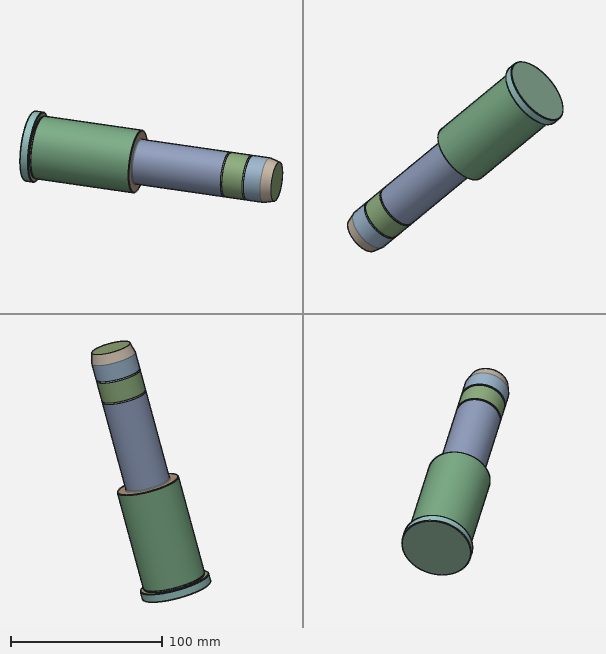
import cadquery as cq
import math

TOTAL_LENGTH = 171.0

HEAD_RADIUS = 47.0 / 2
HEAD_LENGTH = 6.0
HEAD_CHAMFER = 0.5

BODY_RADIUS = 42.0 / 2
BODY_END = 75.0
BODY_CHAMFER = 0.5
UNDERCUT_WIDTH = 1.0
UNDERCUT_DEPTH = 0.5

PIN_RADIUS = 30.0 / 2
ROOT_FILLET = 0.5
GROOVE_RADIUS = 0.5
FIRST_GROOVE_CENTER = 137.0
GROOVE_SPACING = 15.0
GROOVE_COUNT = 2

TIP_LENGTH = 7.0
TIP_ANGLE = math.radians(15.0)


def cylinder(radius, start, end):
    """Solid cylinder on the X axis between two X positions."""
    return cq.Workplane("YZ", origin=(start, 0, 0)).circle(radius).extrude(end - start)


def make_head():
    head = cylinder(HEAD_RADIUS, 0, HEAD_LENGTH)
    return head.faces("<X or >X").chamfer(HEAD_CHAMFER)


def make_body():
    """Body cylinder with a narrow undercut next to the head."""
    undercut_end = HEAD_LENGTH + UNDERCUT_WIDTH
    neck = cylinder(BODY_RADIUS - UNDERCUT_DEPTH, HEAD_LENGTH, undercut_end)
    body = cylinder(BODY_RADIUS, undercut_end, BODY_END)
    return body.faces(">X").chamfer(BODY_CHAMFER).union(neck)


def make_pin():
    """Pin cylinder with a tapered tip."""
    tip_drop = TIP_LENGTH * math.tan(TIP_ANGLE)
    pin = cylinder(PIN_RADIUS, BODY_END, TOTAL_LENGTH)
    return pin.faces(">X").chamfer(TIP_LENGTH, tip_drop)


def round_groove(center):
    """Torus that cuts a half-round groove around the pin."""
    torus = cq.Solid.makeTorus(PIN_RADIUS, GROOVE_RADIUS, cq.Vector(center, 0, 0), cq.Vector(1, 0, 0))
    return cq.Workplane(torus)


def fillet_pin_root(part):
    """Round the inside corner where the pin leaves the body."""
    shoulder_face = part.faces(cq.selectors.BoxSelector(
        (BODY_END - ROOT_FILLET / 2, -BODY_RADIUS, -BODY_RADIUS),
        (BODY_END + ROOT_FILLET / 2, BODY_RADIUS, BODY_RADIUS),
    ))
    return shoulder_face.edges(cq.selectors.RadiusNthSelector(0)).fillet(ROOT_FILLET)


result = make_head().union(make_body()).union(make_pin())
result = fillet_pin_root(result)
for index in range(GROOVE_COUNT):
    result = result.cut(round_groove(FIRST_GROOVE_CENTER + index * GROOVE_SPACING))